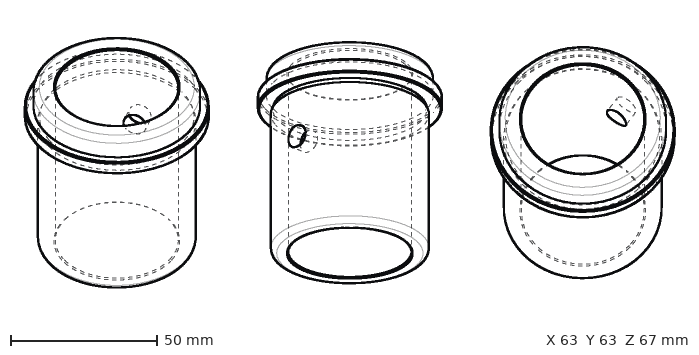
import cadquery as cq

height = 67.0
bore_diameter = 42.1
bore_chamfer = 0.5

sleeve_diameter = 54.1
sleeve_end_fillet = 2.0

flange_diameter = 63.0
flange_bottom = 53.9
flange_thickness = 5.0
flange_chamfer = 0.5

head_diameter = 57.1
head_fillet = 2.0

side_hole_diameter = 8.0
side_hole_height = 35.0

relief_height = 1.8
relief_depth = 0.7


def cylinder(diameter, bottom, top):
    """Solid cylinder on the Z axis between two heights."""
    return cq.Workplane("XY").workplane(offset=bottom).circle(diameter / 2).extrude(top - bottom)


flange_top = flange_bottom + flange_thickness

sleeve = cylinder(sleeve_diameter, 0, flange_bottom).faces("<Z").edges().fillet(sleeve_end_fillet)
sleeve = sleeve.faces(">Z").edges().chamfer(relief_height, relief_depth)

flange = cylinder(flange_diameter, flange_bottom, flange_top).edges().chamfer(flange_chamfer)
head = cylinder(head_diameter, flange_top, height).faces(">Z").edges().fillet(head_fillet)

body = sleeve.union(flange).union(head).cut(cylinder(bore_diameter, 0, height))
bore_rims = body.faces("<Z or >Z").edges(cq.selectors.RadiusNthSelector(0))
bushing = bore_rims.chamfer(bore_chamfer)

side_hole = (
    cq.Workplane("XZ")
    .center(0, side_hole_height)
    .circle(side_hole_diameter / 2)
    .extrude(-sleeve_diameter)
)
result = bushing.cut(side_hole)